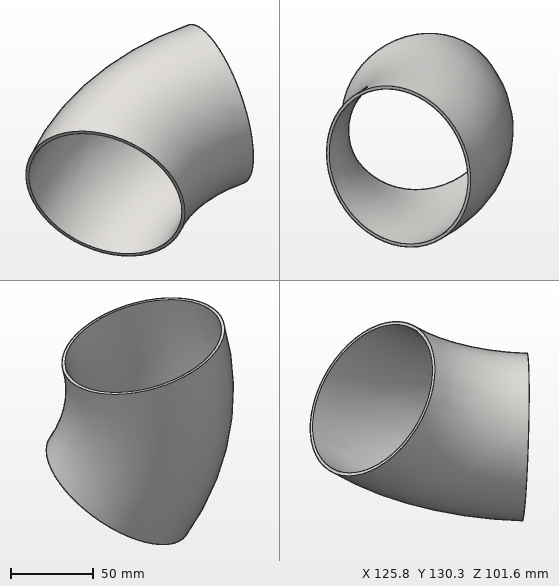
import cadquery as cq

OUTER_DIAMETER = 101.6
WALL_THICKNESS = 2.0
BEND_RADIUS = 133.5
BEND_ANGLE = 45.0

outer_radius = OUTER_DIAMETER / 2
inner_radius = outer_radius - WALL_THICKNESS


def make_elbow():
    """Sweep the ring-shaped pipe section from y = 0 toward +Y, bending toward +X."""
    section = cq.Workplane("XZ").circle(outer_radius).circle(inner_radius)
    axis_start = (BEND_RADIUS, 1)
    axis_end = (BEND_RADIUS, 0)
    return section.revolve(BEND_ANGLE, axis_start, axis_end)


result = make_elbow()